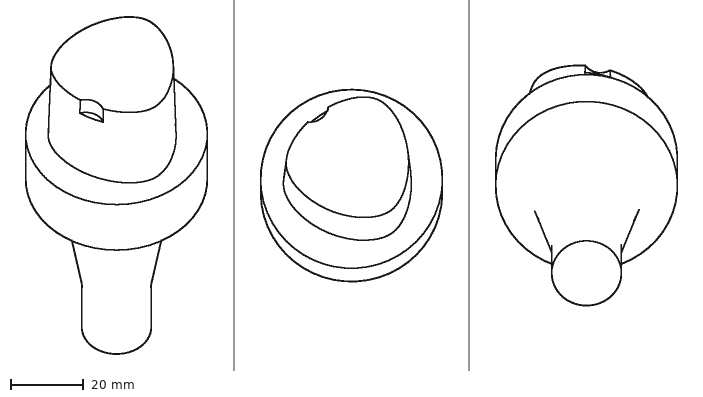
import cadquery as cq
import math

total_height = 115.0
shank_height = 20.0
collar_bottom = 65.0
collar_height = 20.0
collar_top = collar_bottom + collar_height

shank_radius = 19.2 / 2
collar_radius = 50.0 / 2
neck_half_angle = 8.1
underside_angle = 15.0
neck_fillet = 5.0

polygon_base_radius = 17.6
polygon_taper = 1 / 40
lobe_rise = 1.21
flat_half_span = 24.5
lobe_half_span = 60.0 - flat_half_span
lobe_directions = (90, 210, 330)
points_per_span = 7

notch_radius = 5.1
notch_back = -14.0
notch_depth = 5.6


def make_body():
    """Revolve the shank, conical neck and collar, rounding the neck root."""
    neck_slope = math.tan(math.radians(neck_half_angle))
    underside_slope = math.tan(math.radians(underside_angle))
    rise = collar_bottom - shank_height - underside_slope * (collar_radius - shank_radius)
    corner_height = rise / (1 - underside_slope * neck_slope)
    corner_radius = shank_radius + corner_height * neck_slope
    corner_z = shank_height + corner_height
    body = (
        cq.Workplane("XZ")
        .polyline([
            (0, 0),
            (shank_radius, 0),
            (shank_radius, shank_height),
            (corner_radius, corner_z),
            (collar_radius, collar_bottom),
            (collar_radius, collar_top),
            (0, collar_top),
        ])
        .close()
        .revolve(360, (0, 0, 0), (0, 1, 0))
    )
    margin = 0.1
    corner_box = cq.selectors.BoxSelector(
        (-collar_radius, -collar_radius, corner_z - margin),
        (collar_radius, collar_radius, corner_z + margin),
    )
    return body.edges(corner_box).fillet(neck_fillet)


def polygon_point(radius, direction, z):
    """Point of the constant-width outline whose outward normal has this direction."""
    angle = math.radians(direction)
    lobe_angle = 3 * (angle - math.radians(lobe_directions[0]))
    support = radius + lobe_rise * math.cos(lobe_angle)
    slide = -3 * lobe_rise * math.sin(lobe_angle)
    x = support * math.cos(angle) - slide * math.sin(angle)
    y = support * math.sin(angle) + slide * math.cos(angle)
    return cq.Vector(x, y, z)


def outline_span(radius, z, start, end):
    """Spline along the outline between two normal directions."""
    step = (end - start) / (points_per_span - 1)
    points = [polygon_point(radius, start + i * step, z) for i in range(points_per_span)]
    tangents = [
        cq.Vector(-math.sin(math.radians(a)), math.cos(math.radians(a)), 0)
        for a in (start, end)
    ]
    return cq.Edge.makeSpline(points, tangents=tangents)


def polygon_wire(radius, z):
    """Closed outline of alternating lobe and flat spans."""
    edges = []
    for direction in lobe_directions:
        lobe_end = direction + lobe_half_span
        edges.append(outline_span(radius, z, direction - lobe_half_span, lobe_end))
        edges.append(outline_span(radius, z, lobe_end, lobe_end + 2 * flat_half_span))
    return cq.Wire.assembleEdges(edges)


def make_polygon():
    """Loft the tapered polygon from the collar face to the top."""
    top_radius = polygon_base_radius - polygon_taper * (total_height - collar_top)
    base = polygon_wire(polygon_base_radius, collar_top)
    top = polygon_wire(top_radius, total_height)
    return cq.Workplane(cq.Solid.makeLoft([base, top], True))


def make_notch():
    """Upright cylinder that cuts the notch down from the top face."""
    return (
        cq.Workplane("XY", origin=(0, notch_back - notch_radius, total_height - notch_depth))
        .circle(notch_radius)
        .extrude(notch_depth)
    )


result = make_body().union(make_polygon()).cut(make_notch())